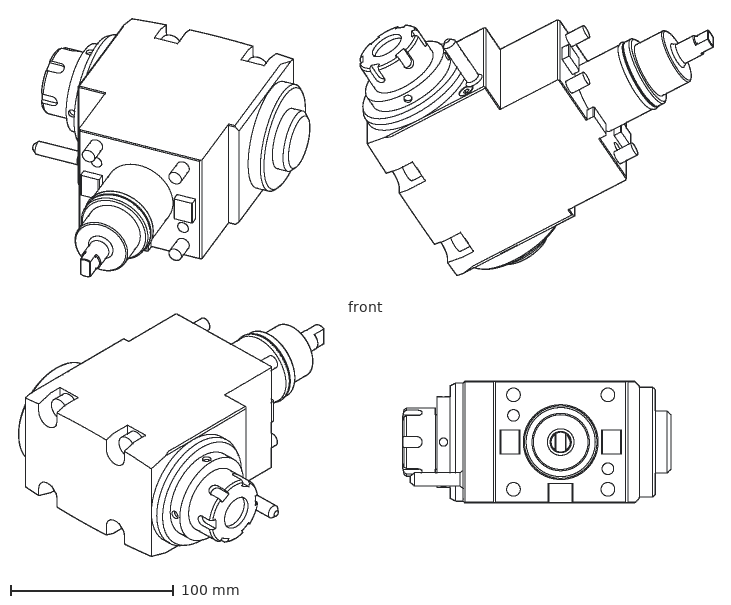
import cadquery as cq
import math


overlap = 2.0

half_height = 37.5
back_y = 126.3
step_y = 41.9
wide_left, wide_right = -60.0, 48.5
narrow_half_width = 41.3
mount_side_chamfer = 1.3
front_edge_chamfer = 0.6
left_chamfer = 1.0
right_chamfer = 3.0
swing_x, swing_y = -3.5, -24.0
swing_radius = 145.2
swing_slope = 0.3
swing_reach = 25.3

screw_offset = 29.0
screw_radius = 4.2
screw_stickout = 12.2
head_radius = 7.0
head_length = 8.5
pocket_radius = 7.8
pocket_depth = 18.7
key_stickout = 5.0
key_chamfer = 0.6
side_key_inner, side_key_width, side_key_height = 25.0, 12.5, 15.0
bottom_key_width, bottom_key_top = 15.4, -25.5
pin_hole_radius, pin_hole_depth = 3.5, 10.5
pin_hole_z = 16.5

shank_radius = 22.3
shank_length = 39.8
shank_chamfer = 1.0
ring_start, ring_end = 31.0, 33.9
ring_bulge = 0.74
groove_radius, groove_end = 21.5, 34.7
nose_radius, nose_end, nose_chamfer = 17.7, 60.2, 0.8
shaft_radius, shaft_end, shaft_chamfer = 6.5, 75.8, 0.6
flare_radius, flare_length = 8.2, 2.5
tang_end, tang_half_width = 84.2, 3.4
tang_chamfer, tang_root_fillet = 0.5, 0.6

flange_radius, flange_left, flange_chamfer = 36.5, -68.0, (3.4, 1.7)
spindle_y = back_y - flange_radius
collar_radius, collar_left = 28.0, -76.2
collar_hole_radius, collar_hole_depth, collar_hole_count = 2.5, 2.0, 4
collar_hole_tip_depth = 1.5
neck_radius = 16.8
nut_radius, nut_left, nut_right = 21.0, -97.5, -77.0
nut_face_radius, nut_bevel_radius = 15.0, 20.0
nut_bevel_length, nut_edge_length = 1.0, 2.7
bore_radius, bore_depth = 10.3, 3.2
slot_width, slot_length, slot_floor_radius, slot_count = 6.7, 12.2, 17.5, 6
cover_radius, cover_right, cover_chamfer = 33.9, 58.3, 1.7
cap_radius, cap_right, cap_chamfer = 19.2, 68.0, 2.5

pipe_y, pipe_z = 49.7, -23.0
pipe_radius, pipe_tip_x = 4.2, -92.6
pipe_tip_radius, pipe_tip_length = 1.9, 2.7
pipe_foot_radius, pipe_foot_length = 5.7, 1.9
plug_y, plug_z = 55.5, -30.0
plug_radius, plug_depth = 4.8, 0.5
socket_across_corners, socket_depth = 3.8, 2.0


def box(x0, x1, y0, y1, z0, z1):
    return cq.Workplane("XY").box(x1 - x0, y1 - y0, z1 - z0, centered=False).translate((x0, y0, z0))


def rod_y(x, z, radius, y0, y1):
    return cq.Workplane(cq.Solid.makeCylinder(radius, y1 - y0, cq.Vector(x, y0, z), cq.Vector(0, 1, 0)))


def turned_x(y, z, profile):
    """Revolve (x, radius) points about the line along X through (y, z)."""
    outline = cq.Workplane("XY").polyline(profile).close()
    return outline.revolve(360, (0, 0, 0), (1, 0, 0)).translate((0, y, z))


def make_housing():
    wide = box(wide_left, wide_right, step_y, back_y, -half_height, half_height)
    wide = wide.faces("<X").edges("|Y or <Y").chamfer(left_chamfer)
    wide = wide.faces(">X").edges("|Y").chamfer(right_chamfer)
    wide = wide.faces("<Y").edges("|X").chamfer(front_edge_chamfer)
    narrow = box(-narrow_half_width, narrow_half_width, 0, back_y, -half_height, half_height)
    narrow = narrow.faces("<Y").edges("|Z").chamfer(mount_side_chamfer)
    narrow = narrow.faces("<Y").edges("|X").chamfer(front_edge_chamfer)

    outer_radius = swing_radius + swing_reach
    outer_z = half_height - swing_slope * swing_reach
    swing = (
        cq.Workplane("XZ")
        .polyline([
            (0, -half_height), (swing_radius, -half_height), (outer_radius, -outer_z),
            (outer_radius, outer_z), (swing_radius, half_height), (0, half_height),
        ])
        .close()
        .revolve(360, (0, 0, 0), (0, 1, 0))
        .translate((swing_x, swing_y, 0))
    )
    return wide.union(narrow).intersect(swing)


def make_screw_pocket(x, side):
    """Round-bottomed pocket open to the back and to the top or bottom face."""
    floor_y = back_y - pocket_depth
    z = side * screw_offset
    outer_z = side * (half_height + overlap)
    bottom = rod_y(x, z, pocket_radius, floor_y, back_y)
    opening = box(x - pocket_radius, x + pocket_radius, floor_y, back_y, min(z, outer_z), max(z, outer_z))
    return bottom.union(opening)


def make_screw(x, side):
    z = side * screw_offset
    floor_y = back_y - pocket_depth
    head = rod_y(x, z, head_radius, floor_y, floor_y + head_length)
    shaft = rod_y(x, z, screw_radius, -screw_stickout, floor_y)
    return head.union(shaft)


def make_keys():
    side_key = box(
        side_key_inner, side_key_inner + side_key_width, -key_stickout, overlap,
        -side_key_height / 2, side_key_height / 2,
    )
    bottom_key = box(
        -bottom_key_width / 2, bottom_key_width / 2, -key_stickout, overlap, -half_height, bottom_key_top
    )
    side_key = side_key.faces("<Y").edges("|Z").chamfer(key_chamfer)
    bottom_key = bottom_key.faces("<Y").edges("|Z").chamfer(key_chamfer)
    return side_key.union(side_key.mirror("YZ")).union(bottom_key)


def make_drive_shank():
    ring_middle = (ring_start + ring_end) / 2
    flare_end = nose_end + flare_length
    profile = (
        cq.Workplane("XY")
        .moveTo(0, overlap)
        .lineTo(shank_radius, overlap)
        .lineTo(shank_radius, -ring_start)
        .threePointArc((shank_radius + ring_bulge, -ring_middle), (shank_radius, -ring_end))
        .lineTo(groove_radius, -ring_end)
        .lineTo(groove_radius, -groove_end)
        .lineTo(shank_radius, -groove_end)
        .lineTo(shank_radius, -shank_length + shank_chamfer)
        .lineTo(shank_radius - shank_chamfer, -shank_length)
        .lineTo(nose_radius, -shank_length)
        .lineTo(nose_radius, -nose_end + nose_chamfer)
        .lineTo(nose_radius - nose_chamfer, -nose_end)
        .lineTo(flare_radius, -nose_end)
        .lineTo(shaft_radius, -flare_end)
        .lineTo(shaft_radius, -shaft_end + shaft_chamfer)
        .lineTo(shaft_radius - shaft_chamfer, -shaft_end)
        .lineTo(0, -shaft_end)
        .close()
    )
    shank = profile.revolve(360, (0, 0, 0), (0, 1, 0))
    tang_root_y = -shaft_end + shaft_chamfer
    tang = rod_y(0, 0, shaft_radius, -tang_end, tang_root_y)
    blade = box(-tang_half_width, tang_half_width, -tang_end, tang_root_y, -shaft_radius, shaft_radius)
    tang = tang.intersect(blade).faces("<Y").edges().chamfer(tang_chamfer)
    shank = shank.union(tang)
    root_zone = cq.selectors.BoxSelector(
        (-tang_half_width - tang_root_fillet, -shaft_end - tang_root_fillet, -tang_root_fillet),
        (tang_half_width + tang_root_fillet, -shaft_end + tang_root_fillet, tang_root_fillet),
    )
    return shank.edges("|Z").edges(root_zone).fillet(tang_root_fillet)


def make_spindle():
    bevel_end = nut_left + nut_bevel_length
    edge_end = nut_left + nut_edge_length
    chamfer_length, chamfer_drop = flange_chamfer
    spindle = turned_x(spindle_y, 0, [
        (nut_left, 0),
        (nut_left, nut_face_radius),
        (bevel_end, nut_bevel_radius),
        (edge_end, nut_radius),
        (nut_right, nut_radius),
        (nut_right, neck_radius),
        (collar_left, neck_radius),
        (collar_left, collar_radius),
        (flange_left, collar_radius),
        (flange_left, flange_radius - chamfer_drop),
        (flange_left + chamfer_length, flange_radius),
        (wide_left, flange_radius),
        (wide_left, cover_radius),
        (cover_right - cover_chamfer, cover_radius),
        (cover_right, cover_radius - cover_chamfer),
        (cover_right, cap_radius),
        (cap_right - cap_chamfer, cap_radius),
        (cap_right, cap_radius - cap_chamfer),
        (cap_right, 0),
    ])
    bore_floor = nut_left + bore_depth
    bore = turned_x(spindle_y, 0, [
        (nut_left, 0), (nut_left, bore_radius), (bore_floor, bore_radius), (bore_floor, 0),
    ])
    spindle = spindle.cut(bore)

    slot_end_x = nut_left + slot_length - slot_width / 2
    slot = (
        cq.Workplane("XZ", origin=(0, -slot_floor_radius, 0))
        .moveTo(nut_left, -slot_width / 2)
        .lineTo(slot_end_x, -slot_width / 2)
        .threePointArc((slot_end_x + slot_width / 2, 0), (slot_end_x, slot_width / 2))
        .lineTo(nut_left, slot_width / 2)
        .close()
        .extrude(nut_radius)
    )
    for i in range(slot_count):
        turned_slot = slot.rotate((0, 0, 0), (1, 0, 0), 360 * i / slot_count)
        spindle = spindle.cut(turned_slot.translate((0, spindle_y, 0)))

    hole_x = (collar_left + flange_left) / 2
    hole_floor = collar_hole_depth - collar_radius
    hole = (
        cq.Workplane("XY")
        .polyline([
            (0, -collar_radius), (collar_hole_radius, -collar_radius),
            (collar_hole_radius, hole_floor), (0, hole_floor + collar_hole_tip_depth),
        ])
        .close()
        .revolve(360, (0, 0, 0), (0, 1, 0))
        .translate((hole_x, 0, 0))
    )
    for i in range(collar_hole_count):
        turned_hole = hole.rotate((0, 0, 0), (1, 0, 0), 360 * i / collar_hole_count)
        spindle = spindle.cut(turned_hole.translate((0, spindle_y, 0)))
    return spindle


def make_pipe():
    inside_x = wide_left + overlap
    return turned_x(pipe_y, pipe_z, [
        (pipe_tip_x, 0),
        (pipe_tip_x, pipe_tip_radius),
        (pipe_tip_x + pipe_tip_length, pipe_radius),
        (wide_left - pipe_foot_length, pipe_radius),
        (wide_left, pipe_foot_radius),
        (inside_x, pipe_foot_radius),
        (inside_x, 0),
    ])


def make_plug_recess():
    """Shallow round recess with a hexagon socket in its floor."""
    face = cq.Workplane("YZ", origin=(wide_left, plug_y, plug_z))
    recess = face.circle(plug_radius).extrude(plug_depth)
    return recess.union(face.polygon(6, socket_across_corners).extrude(plug_depth + socket_depth))


result = make_housing().cut(make_plug_recess()).union(make_spindle())
for screw_x in (-screw_offset, screw_offset):
    for side in (-1, 1):
        result = result.cut(make_screw_pocket(screw_x, side)).union(make_screw(screw_x, side))
    pin_z = -math.copysign(pin_hole_z, screw_x)
    result = result.cut(rod_y(screw_x, pin_z, pin_hole_radius, 0, pin_hole_depth))

for part in (make_keys(), make_drive_shank(), make_pipe()):
    result = result.union(part)